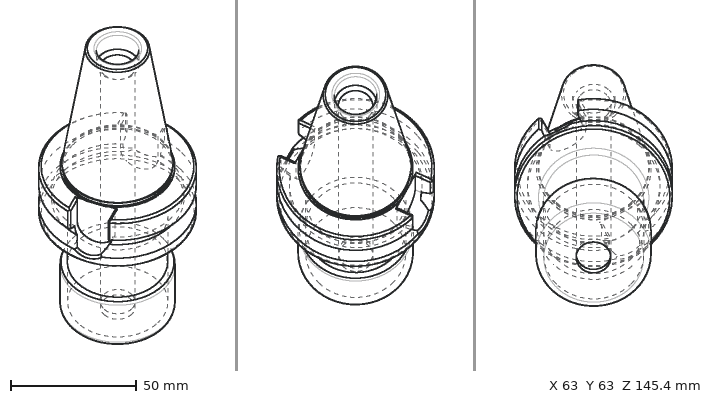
import cadquery as cq
import math

total_height = 145.4

nut_diameter = 46.0
nut_height = 25.3
nut_rim_chamfer = 0.5
nut_rim_height = 1.5
nut_nose_radius = 3.0
nut_lip_height = 3.0

shank_diameter = 40.0
shank_fillet = 2.0

flange_diameter = 63.0
groove_diameter = 52.9
flange_bottom = 53.2
lower_rim_top = 58.6
groove_floor_bottom = 61.2
groove_floor_top = 65.6
upper_rim_bottom = 68.6
flange_top = 79.1
flange_chamfer = 1.0

slot_width = 16.1
slot_floor_offset = 22.5
slot_center_height = 65.5
slot_chamfer = 1.0

taper_height = 65.0
taper_base_diameter = 44.5
taper_slope = 7 / 24
taper_top_chamfer = 0.7
neck_diameter = 43.9
undercut_diameter = 45.8
undercut_depth = 0.5

bore_diameter = 13.8
counterbore_diameter = 17.0
counterbore_depth = 9.0
counterbore_fillet = 1.0

nut_radius = nut_diameter / 2
shank_radius = shank_diameter / 2
flange_radius = flange_diameter / 2
groove_radius = groove_diameter / 2
taper_base = total_height - taper_height
taper_base_radius = taper_base_diameter / 2
taper_top_radius = taper_base_radius - taper_slope * taper_height / 2
slot_radius = slot_width / 2


def arc_dip(radius):
    """Distance of a quarter arc's midpoint from each of the two lines it is tangent to."""
    return radius * (1 - math.sqrt(0.5))


def make_shank_and_flange():
    """Revolved shank, flange and neck, up to the base of the taper."""
    undercut_floor = flange_top - undercut_depth
    fillet_dip = arc_dip(shank_fillet)
    return (
        cq.Workplane("XZ")
        .moveTo(0, nut_lip_height)
        .lineTo(shank_radius, nut_lip_height)
        .lineTo(shank_radius, flange_bottom - shank_fillet)
        .threePointArc(
            (shank_radius + fillet_dip, flange_bottom - fillet_dip),
            (shank_radius + shank_fillet, flange_bottom),
        )
        .lineTo(flange_radius - flange_chamfer, flange_bottom)
        .lineTo(flange_radius, flange_bottom + flange_chamfer)
        .lineTo(flange_radius, lower_rim_top)
        .lineTo(groove_radius, groove_floor_bottom)
        .lineTo(groove_radius, groove_floor_top)
        .lineTo(flange_radius, upper_rim_bottom)
        .lineTo(flange_radius, flange_top - flange_chamfer)
        .lineTo(flange_radius - flange_chamfer, flange_top)
        .lineTo(undercut_diameter / 2, flange_top)
        .lineTo(undercut_diameter / 2, undercut_floor)
        .lineTo(neck_diameter / 2, undercut_floor)
        .lineTo(neck_diameter / 2, taper_base)
        .lineTo(0, taper_base)
        .close()
        .revolve(360, (0, 0), (0, 1))
    )


def make_taper():
    """Steep cone above the flange with a chamfered small end."""
    chamfer_start = total_height - taper_top_chamfer
    return (
        cq.Workplane("XZ")
        .moveTo(0, taper_base)
        .lineTo(taper_base_radius, taper_base)
        .lineTo(taper_top_radius + taper_slope * taper_top_chamfer / 2, chamfer_start)
        .lineTo(taper_top_radius - taper_top_chamfer, total_height)
        .lineTo(0, total_height)
        .close()
        .revolve(360, (0, 0), (0, 1))
    )


def cut_driving_slots(body):
    """Two opposite round-bottomed slots with flat floors, open at the top of the flange."""
    for side in (-1, 1):
        slot = (
            cq.Workplane("XZ", origin=(0, side * slot_floor_offset, 0))
            .moveTo(-slot_radius, flange_top)
            .lineTo(-slot_radius, slot_center_height)
            .threePointArc((0, slot_center_height - slot_radius), (slot_radius, slot_center_height))
            .lineTo(slot_radius, flange_top)
            .close()
            .extrude(-side * flange_radius)
        )
        body = body.cut(slot)
    return body


def is_far_out(edge):
    """True for an edge that sits at a slot mouth, outside the groove floor."""
    return abs(edge.Center().y) > groove_radius


def is_lower_rim_arc(edge):
    """True for the curved slot edge on the outer face of the lower rim."""
    return is_far_out(edge) and flange_bottom < edge.Center().z < lower_rim_top


def chamfer_slot_rims(body):
    """Break the slot edges on the flange's top face and on its two outer rims."""
    body = body.edges("|Y").edges(">Z").chamfer(slot_chamfer)
    body = body.edges("|Z").filter(is_far_out).chamfer(slot_chamfer)
    return body.edges().filter(is_lower_rim_arc).chamfer(slot_chamfer)


def drill_bore(body):
    """Through bore with a counterbore: conical 45 degree seat below, rounded mouth above."""
    bore_radius = bore_diameter / 2
    counterbore_radius = counterbore_diameter / 2
    seat_top = total_height - counterbore_depth
    seat_bottom = seat_top - (counterbore_radius - bore_radius)
    mouth_dip = arc_dip(counterbore_fillet)
    tool = (
        cq.Workplane("XZ")
        .lineTo(bore_radius, 0)
        .lineTo(bore_radius, seat_bottom)
        .lineTo(counterbore_radius, seat_top)
        .lineTo(counterbore_radius, total_height - counterbore_fillet)
        .threePointArc(
            (counterbore_radius + mouth_dip, total_height - mouth_dip),
            (counterbore_radius + counterbore_fillet, total_height),
        )
        .lineTo(0, total_height)
        .close()
        .revolve(360, (0, 0), (0, 1))
    )
    return body.cut(tool)


def make_holder():
    """Tool holder: shank, flange and taper in one piece, slotted and bored."""
    body = make_shank_and_flange().union(make_taper())
    body = cut_driving_slots(body)
    body = chamfer_slot_rims(body)
    return drill_bore(body)


def make_nut():
    """Collet nut: a rounded-nose cap with a recess that takes the shank."""
    nose_dip = arc_dip(nut_nose_radius)
    return (
        cq.Workplane("XZ")
        .moveTo(bore_diameter / 2, 0)
        .lineTo(nut_radius - nut_nose_radius, 0)
        .threePointArc((nut_radius - nose_dip, nose_dip), (nut_radius, nut_nose_radius))
        .lineTo(nut_radius, nut_height - nut_rim_height)
        .lineTo(nut_radius - nut_rim_chamfer, nut_height)
        .lineTo(shank_radius, nut_height)
        .lineTo(shank_radius, nut_lip_height)
        .lineTo(bore_diameter / 2, nut_lip_height)
        .close()
        .revolve(360, (0, 0), (0, 1))
    )


holder = make_holder()
nut = make_nut()
result = cq.Compound.makeCompound([holder.val(), nut.val()])